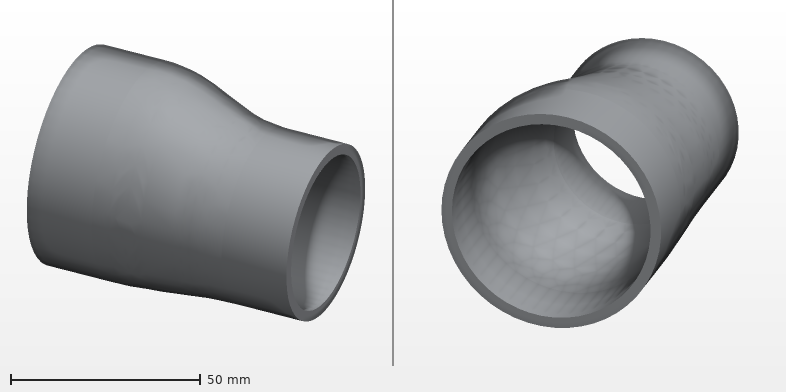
import cadquery as cq

total_length = 76.0
large_diameter = 60.3
small_diameter = 48.3
wall = 2.9

tube_length = total_length / 4
transition_length = total_length - 2 * tube_length
transition_steps = 8


def tube_solid(x_start, radius, y_center):
    """Solid cylinder along +X, one straight tube length long."""
    return (
        cq.Workplane("YZ", origin=(x_start, y_center, 0))
        .circle(radius)
        .extrude(tube_length)
    )


def transition_solid(large_radius, small_radius):
    """Loft through circles that shrink along a cubic S-curve and stay flush at -Y."""
    sections = []
    for step in range(transition_steps + 1):
        t = step / transition_steps
        blend = 3 * t**2 - 2 * t**3
        radius = large_radius + (small_radius - large_radius) * blend
        center = cq.Vector(tube_length + t * transition_length, radius - large_radius, 0)
        circle = cq.Edge.makeCircle(radius, center, cq.Vector(1, 0, 0))
        sections.append(cq.Wire.assembleEdges([circle]))
    return cq.Workplane(obj=cq.Solid.makeLoft(sections))


def reducer_solid(large_radius, small_radius):
    """Filled reducer envelope: large tube, transition, small tube."""
    large_tube = tube_solid(0, large_radius, 0)
    small_tube = tube_solid(
        total_length - tube_length, small_radius, small_radius - large_radius
    )
    return large_tube.union(transition_solid(large_radius, small_radius)).union(small_tube)


outside = reducer_solid(large_diameter / 2, small_diameter / 2)
bore = reducer_solid(large_diameter / 2 - wall, small_diameter / 2 - wall)

result = outside.cut(bore)